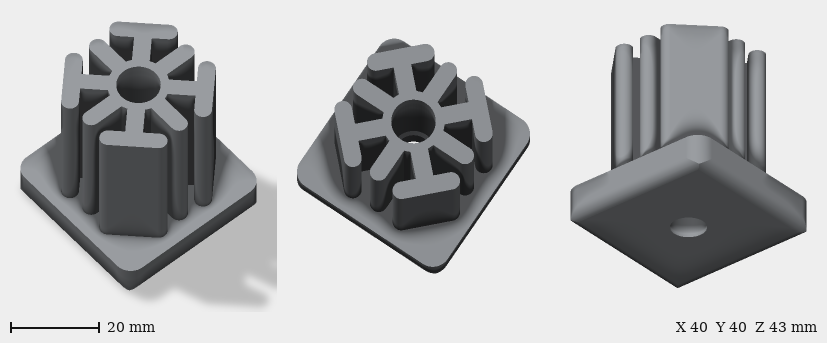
import cadquery as cq
import math

total_height = 43.0
plate_side = 40.0
plate_thickness = 8.0
plate_corner_radius = 4.0
bottom_edge_radius = 2.5

rib_thickness = 4.0
hub_radius = 7.0
straight_rib_reach = 16.0
crossbar_distance = 15.0
crossbar_length = 15.4

bore_diameter = 10.0
plate_hole_diameter = 8.4
cone_half_angle = 45

rib_height = total_height - plate_thickness


def rounded_bottom_block():
    """Square block whose two bottom edges along Y are rounded."""
    block = cq.Workplane("XY").box(plate_side, plate_side, plate_thickness, centered=(True, True, False))
    return block.faces("<Z").edges("|Y").fillet(bottom_edge_radius)


def foot_plate():
    """Plate with round upright corners and bottom roundings that meet in mitres."""
    across_x = rounded_bottom_block()
    across_y = across_x.rotate((0, 0, 0), (0, 0, 1), 90)
    outline = cq.Workplane("XY").rect(plate_side, plate_side).extrude(plate_thickness)
    outline = outline.edges("|Z").fillet(plate_corner_radius)
    return outline.intersect(across_x).intersect(across_y)


def rib_base():
    return cq.Workplane("XY").workplane(offset=plate_thickness)


def straight_rib():
    """Full-length rib through the axis with a rounded tip at each end."""
    return rib_base().slot2D(2 * straight_rib_reach, rib_thickness).extrude(rib_height)


def t_rib():
    """Rib through the axis with a round-ended crossbar at each end."""
    stem = rib_base().rect(2 * crossbar_distance, rib_thickness).extrude(rib_height)
    crossbars = (
        rib_base()
        .pushPoints([(-crossbar_distance, 0), (crossbar_distance, 0)])
        .slot2D(crossbar_length, rib_thickness, 90)
        .extrude(rib_height)
    )
    return stem.union(crossbars)


def stepped_bore():
    """Wide bore through the ribs, necking down through a cone to a hole through the plate."""
    wide_radius = bore_diameter / 2
    narrow_radius = plate_hole_diameter / 2
    cone_top = plate_thickness
    cone_bottom = cone_top - (wide_radius - narrow_radius) / math.tan(math.radians(cone_half_angle))
    half_section = [
        (0, 0),
        (narrow_radius, 0),
        (narrow_radius, cone_bottom),
        (wide_radius, cone_top),
        (wide_radius, total_height),
        (0, total_height),
    ]
    return cq.Workplane("XZ").polyline(half_section).close().revolve(360, (0, 0), (0, 1))


hub = rib_base().circle(hub_radius).extrude(rib_height)
body = foot_plate().union(hub)
for angle in (0, 90):
    body = body.union(straight_rib().rotate((0, 0, 0), (0, 0, 1), angle))
    body = body.union(t_rib().rotate((0, 0, 0), (0, 0, 1), angle + 45))

result = body.cut(stepped_bore())